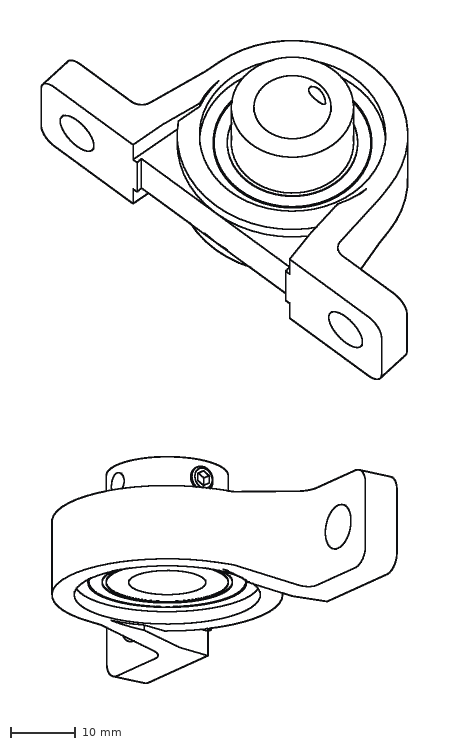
import cadquery as cq
import math


foot_length = 71.0
foot_width = 16.0
foot_height = 5.95
foot_corner_radius = 2.85
bolt_hole_diameter = 7.0
bolt_hole_spacing = 56.0
ring_radius = 17.95
ring_width = 12.0
shaft_height = 18.95
flank_angle = 8.6
flank_fillet_radius = 2.3
web_width = 7.95
overall_height = 21.5
relief_half_width = 15.5
rib_gap_half_width = 16.3
rib_inner_angle = 8.3
rib_clearance_radius = 15.4

bearing_diameter = 29.0
bearing_width = 7.95
bore_diameter = 12.0
collar_diameter = 19.0
shield_outer_diameter = 24.7
shield_inner_diameter = 20.3
shield_groove_width = 0.15
groove_depth = 0.15

screw_diameter = 4.0
screw_face_diameter = 3.3
screw_chamfer_length = 0.3
screw_z = 10.45
screw_projection = 0.4
hex_across_corners = 2.4
hex_depth = 1.4
open_hole_diameter = 3.5

relief_depth = shaft_height - ring_radius
foot_half_width = foot_width / 2
collar_top = overall_height - foot_half_width
ring_half_width = ring_width / 2
collar_radius = collar_diameter / 2


def disc(radius, z_low, z_high):
    """Cylinder about the shaft axis between two heights."""
    plane = cq.Workplane("XY", origin=(0, shaft_height, z_low))
    return plane.circle(radius).extrude(z_high - z_low)


def prism(outline, half_width):
    """Closed XY outline extruded symmetrically about the mid-plane."""
    return outline.close().extrude(half_width, both=True)


def make_profile():
    """Arched body on its foot, with flanks tangent to the arch."""
    lean = math.radians(flank_angle)
    tangent_x = ring_radius * math.cos(lean)
    tangent_y = shaft_height + ring_radius * math.sin(lean)
    flank_foot_x = tangent_x + (tangent_y - foot_height) * math.tan(lean)
    half_length = foot_length / 2
    outline = (
        cq.Workplane("XY")
        .moveTo(-half_length, 0)
        .lineTo(half_length, 0)
        .lineTo(half_length, foot_height)
        .lineTo(flank_foot_x, foot_height)
        .lineTo(tangent_x, tangent_y)
        .threePointArc((0, shaft_height + ring_radius), (-tangent_x, tangent_y))
        .lineTo(-flank_foot_x, foot_height)
        .lineTo(-half_length, foot_height)
    )
    body = prism(outline, foot_half_width)
    for side in (-1, 1):
        root = cq.selectors.NearestToPointSelector((side * flank_foot_x, foot_height, 0))
        body = body.edges("|Z").edges(root).fillet(flank_fillet_radius)
    return body.edges("|Y").edges("<X or >X").fillet(foot_corner_radius)


def make_side_envelope():
    """YZ outline that tapers from the wide foot to the narrower ring."""
    arch_top = shaft_height + ring_radius
    return (
        cq.Workplane("YZ")
        .moveTo(0, -foot_half_width)
        .lineTo(foot_height, -foot_half_width)
        .lineTo(shaft_height, -ring_half_width)
        .lineTo(arch_top, -ring_half_width)
        .lineTo(arch_top, ring_half_width)
        .lineTo(shaft_height, ring_half_width)
        .lineTo(foot_height, foot_half_width)
        .lineTo(0, foot_half_width)
        .close()
        .extrude(foot_length / 2, both=True)
    )


def cut_between_ribs(body):
    """Step the web back between the ribs, leaving the ring standing proud."""
    gap_top_half_width = rib_gap_half_width - shaft_height * math.tan(math.radians(rib_inner_angle))
    gap_outline = (
        cq.Workplane("XY")
        .moveTo(-rib_gap_half_width, 0)
        .lineTo(rib_gap_half_width, 0)
        .lineTo(gap_top_half_width, shaft_height)
        .lineTo(-gap_top_half_width, shaft_height)
    )
    gap = prism(gap_outline, foot_half_width)
    web = cq.Workplane("XY").box(foot_length, 2 * shaft_height, web_width)
    ring = disc(ring_radius, -ring_half_width, ring_half_width)
    body = body.cut(gap.cut(web).cut(ring))
    for low, high in ((ring_half_width, foot_half_width), (-foot_half_width, -ring_half_width)):
        body = body.cut(disc(rib_clearance_radius, low, high))
    relief = cq.Workplane("XY").box(2 * relief_half_width, 2 * relief_depth, foot_width)
    return body.cut(relief)


def make_housing():
    body = make_profile().intersect(make_side_envelope())
    body = cut_between_ribs(body)
    body = body.cut(disc(bearing_diameter / 2, -ring_half_width, ring_half_width))
    bolt_holes = (
        cq.Workplane("XZ")
        .pushPoints([(-bolt_hole_spacing / 2, 0), (bolt_hole_spacing / 2, 0)])
        .circle(bolt_hole_diameter / 2)
        .extrude(-foot_height)
    )
    return body.cut(bolt_holes)


def face_groove(outer_diameter, inner_diameter, z_low):
    groove = disc(outer_diameter / 2, z_low, z_low + groove_depth)
    return groove.cut(disc(inner_diameter / 2, z_low, z_low + groove_depth))


def make_set_screw():
    """Chamfered set screw on the -X side with a hexagon socket."""
    tip_x = -collar_radius - screw_projection
    root_x = -(collar_radius + bore_diameter / 2) / 2
    screw = (
        cq.Workplane("YZ", origin=(tip_x, shaft_height, screw_z))
        .circle(screw_diameter / 2)
        .extrude(root_x - tip_x)
        .faces("<X")
        .chamfer(screw_chamfer_length, (screw_diameter - screw_face_diameter) / 2)
    )
    socket = (
        cq.Workplane("YZ", origin=(tip_x, shaft_height, screw_z))
        .transformed(rotate=(0, 0, 90))
        .polygon(6, hex_across_corners)
        .extrude(hex_depth)
    )
    return screw, socket


def make_bearing():
    half_width = bearing_width / 2
    body = disc(bearing_diameter / 2, -half_width, half_width)
    body = body.union(disc(collar_radius, half_width, collar_top))
    shield_groove_inner = shield_outer_diameter - 2 * shield_groove_width
    for z_low in (half_width - groove_depth, -half_width):
        body = body.cut(face_groove(shield_outer_diameter, shield_groove_inner, z_low))
        body = body.cut(face_groove(shield_inner_diameter, collar_diameter, z_low))
    screw, socket = make_set_screw()
    body = body.union(screw).cut(socket)
    body = body.cut(disc(bore_diameter / 2, -half_width, collar_top))
    open_hole = (
        cq.Workplane("XZ", origin=(0, shaft_height, screw_z))
        .circle(open_hole_diameter / 2)
        .extrude(-collar_radius)
    )
    return body.cut(open_hole)


housing = make_housing()
bearing = make_bearing()
result = cq.Compound.makeCompound([housing.val(), bearing.val()])